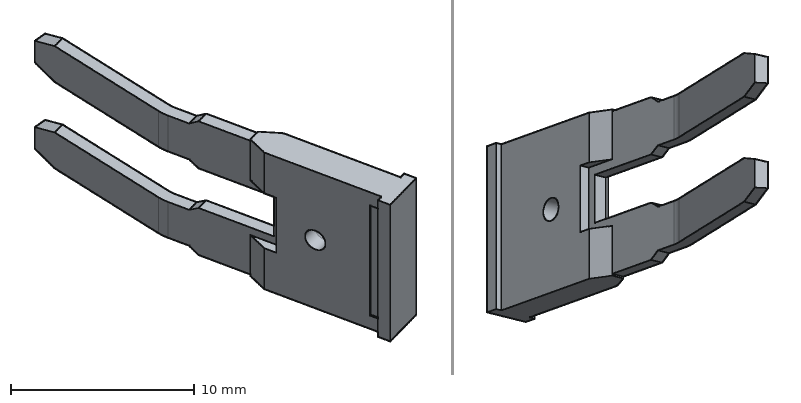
import cadquery as cq
import math


total_length = 24.69
height = 9.5

housing_length = 9.5
housing_thickness = 2.0
head_length = 0.78
head_thickness = 2.75
nose_length = 1.25
notch_end = 7.5
notch_height = 3.8
hole_diameter = 1.3
hole_position = 5.0

recess_length = 0.75
recess_height = 7.65
recess_depth = 0.1

plate_thickness = 0.8
plate_height = 9.3
gap_end = 8.0
wide_gap_height = 2.75
shoulder_start = 12.8
shoulder_end = 13.4
prong_width = 2.5
prong_pitch = 6.0
tip_width = 1.5
tip_length = 1.5

bend_start = 14.75
bend_angle = math.radians(14)
bend_inner_radius = 2.0
bend_outer_radius = bend_inner_radius + plate_thickness


def make_housing():
    """Thick body with a tapered nose and a flanged head, notched between the prongs."""
    half_body = housing_thickness / 2
    half_head = head_thickness / 2
    half_plate = plate_thickness / 2
    nose_base = housing_length - nose_length
    profile = [
        (-housing_length, -half_plate),
        (-nose_base, -half_body),
        (-head_length, -half_body),
        (-head_length, -half_head),
        (0, -half_head),
        (0, half_head),
        (-head_length, half_head),
        (-head_length, half_body),
        (-nose_base, half_body),
        (-housing_length, half_plate),
    ]
    body = cq.Workplane("XY").polyline(profile).close().extrude(height / 2, both=True)

    notch_length = housing_length - notch_end
    notch = cq.Workplane("XY").box(notch_length, housing_thickness, notch_height)
    notch = notch.translate((-notch_end - notch_length / 2, 0, 0))

    recess = cq.Workplane("XY").box(recess_length, recess_depth, recess_height)
    recess_x = -head_length - recess_length / 2
    recess_y = (recess_depth - housing_thickness) / 2
    recess = recess.translate((recess_x, recess_y, 0))
    return body.cut(notch).cut(recess)


def make_bent_strip():
    """Full-height strip: straight from inside the housing, then bent toward +Y."""
    half = plate_thickness / 2
    center_y = half + bend_inner_radius
    sine = math.sin(bend_angle)
    cosine = math.cos(bend_angle)
    outer_run = total_length - bend_start - bend_outer_radius * sine
    straight_length = outer_run / cosine

    def on_bend(radius, angle):
        return (-bend_start - radius * math.sin(angle), center_y - radius * math.cos(angle))

    def at_tip(radius):
        x, y = on_bend(radius, bend_angle)
        return (x - straight_length * cosine, y + straight_length * sine)

    strip = (
        cq.Workplane("XY")
        .moveTo(-notch_end, -half)
        .lineTo(-bend_start, -half)
        .threePointArc(
            on_bend(bend_outer_radius, bend_angle / 2),
            on_bend(bend_outer_radius, bend_angle),
        )
        .lineTo(*at_tip(bend_outer_radius))
        .lineTo(*at_tip(bend_inner_radius))
        .lineTo(*on_bend(bend_inner_radius, bend_angle))
        .threePointArc(
            on_bend(bend_inner_radius, bend_angle / 2),
            (-bend_start, half),
        )
        .lineTo(-notch_end, half)
        .close()
    )
    return strip.extrude(height / 2, both=True)


def make_prong_outline():
    """Block along Y with the outline of the upper prong and the upper half of the plate root."""
    center = prong_pitch / 2
    prong_top = center + prong_width / 2
    prong_bottom = center - prong_width / 2
    tip_base = total_length - tip_length
    outline = [
        (-notch_end, 0),
        (-notch_end, plate_height / 2),
        (-shoulder_start, plate_height / 2),
        (-shoulder_end, prong_top),
        (-tip_base, prong_top),
        (-total_length, center + tip_width / 2),
        (-total_length, center - tip_width / 2),
        (-tip_base, prong_bottom),
        (-shoulder_end, prong_bottom),
        (-shoulder_start, wide_gap_height / 2),
        (-gap_end, wide_gap_height / 2),
        (-gap_end, 0),
    ]
    return cq.Workplane("XZ").polyline(outline).close().extrude(total_length, both=True)


def make_plate():
    """Bent strip trimmed to the two mirrored prongs."""
    upper = make_prong_outline()
    outline = upper.union(upper.mirror("XY"))
    return make_bent_strip().intersect(outline)


def make_hole():
    """Round hole through the thickness of the housing."""
    circle = cq.Workplane("XZ").center(-hole_position, 0).circle(hole_diameter / 2)
    return circle.extrude(housing_thickness, both=True)


result = make_housing().union(make_plate()).cut(make_hole())